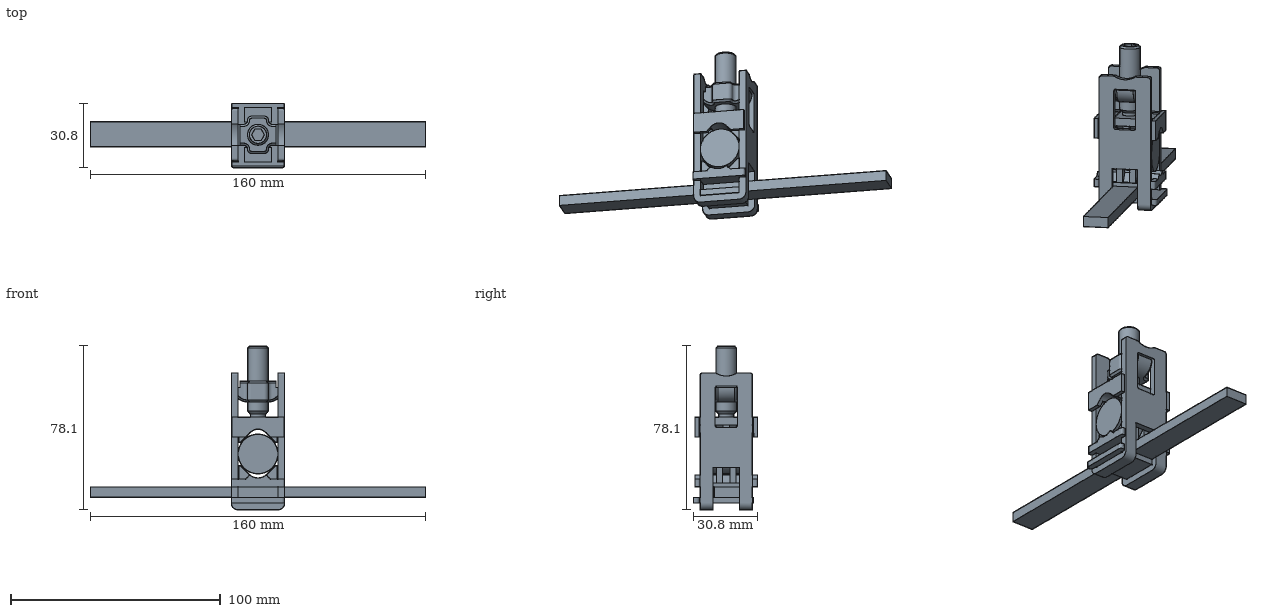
import cadquery as cq
import math


frame_width = 25.5
frame_depth = 25.0
frame_height = 65.4
wall = 3.25
frame_inner = frame_width - 2 * wall
top_corner_radius = 1.2
notch_width = 10.2
notch_depth = 1.5
window_width = 10.6
window_bottom = 39.4
window_top = 59.1
window_radius = 1.0
opening_width = 12.5
opening_top = 20.25

base_plate_thickness = 2.8
base_plate_back = 13.1
head_front = 15.75
head_thickness = 3.0
head_corner_radius = 1.3

bar_length = 160.0
bar_width = 12.0
bar_thickness = 5.0
bar_y = (opening_width - bar_width) / 2

base_plate_bottom = wall
bar_bottom = base_plate_bottom + base_plate_thickness
jaw_bottom = bar_bottom + bar_thickness

conductor_diameter = frame_inner
conductor_length = frame_depth
conductor_z = 26.7

groove_clearance = 0.3
groove_apex = (conductor_diameter / 2 + groove_clearance) * math.sqrt(2)
ridge_apex = 6.1
rib_reach = 5.5
flange_depth = 30.0
rib_pitch = 6.4
rib_thickness = 3.0
rib_setback = 0.25

lower_web = 1.8
lower_flange_width = frame_width
lower_flange_thickness = (flange_depth - frame_depth) / 2
lower_flange_top = 14.75
lower_flange_radius = 0.9
lower_root_radius = 6.0

saddle_top = 44.3
saddle_web = 3.8
saddle_flange_width = 24.6
saddle_flange_thickness = 2.0
saddle_flange_bottom = 34.7
saddle_root_radius = 5.0
recess_width = 13.0
recess_start = 6.0
recess_depth = 0.6

nut_bottom = 51.5
nut_height = 10.0
nut_arm_width = 10.0
nut_depth = 17.8
nut_corner_radius = 1.9
nut_chamfer = 1.0
nut_shoulder_width = 17.4
nut_lug_width = 24.0
nut_lug_radius = 7.0
nut_lug_top = nut_bottom + nut_lug_radius

screw_diameter = 10.0
screw_top = 78.12
screw_chamfer = 0.9
screw_taper_top = 47.1
screw_taper_bottom = 45.7
screw_tip_diameter = 7.2
socket_across_flats = 5.3
socket_depth = 6.0


def block(size_x, y_min, y_max, z_min, z_max):
    """Box centred on X = 0 between the given Y and Z limits."""
    box = cq.Workplane("XY").box(size_x, y_max - y_min, z_max - z_min)
    return box.translate((0, (y_min + y_max) / 2, (z_min + z_max) / 2))


def prism_along_y(profile, length):
    """Extrude an XZ profile by the length, centred on Y = 0."""
    return profile.extrude(length / 2, both=True)


def make_frame():
    frame = block(frame_width, -frame_depth / 2, frame_depth / 2, 0, frame_height)
    frame = frame.edges("|Y and <Z").fillet(wall)
    frame = frame.edges("|X and >Z").fillet(top_corner_radius)
    frame = frame.cut(block(frame_inner, -frame_depth, frame_depth, wall, 2 * frame_height))
    opening_half = opening_width / 2
    frame = frame.cut(block(2 * frame_width, -opening_half, opening_half, -wall, opening_top))
    window = block(2 * frame_width, -window_width / 2, window_width / 2, window_bottom, window_top)
    frame = frame.cut(window.edges("|X").fillet(window_radius))
    notch_radius = ((notch_width / 2) ** 2 + notch_depth ** 2) / (2 * notch_depth)
    notch_centre = frame_height - notch_depth + notch_radius
    notch = cq.Workplane("YZ").center(0, notch_centre).circle(notch_radius).extrude(frame_width, both=True)
    return frame.cut(notch)


def make_base_plate():
    """Sliding T-shaped plate whose wide head stops against the front of the frame."""
    top = base_plate_bottom + base_plate_thickness
    head_back = head_thickness - head_front
    head = block(frame_width, -head_front, head_back, base_plate_bottom, top)
    head = head.edges("|Z").fillet(head_corner_radius)
    shank = block(frame_inner, head_back - head_corner_radius, base_plate_back, base_plate_bottom, top)
    return head.union(shank)


def make_flat_bar():
    bar = block(bar_length, -bar_width / 2, bar_width / 2, bar_bottom, bar_bottom + bar_thickness)
    return bar.translate((0, bar_y, 0))


def make_conductor():
    circle = cq.Workplane("XZ").center(0, conductor_z).circle(conductor_diameter / 2)
    return prism_along_y(circle, conductor_length)


def make_groove(side, root_radius):
    """V groove cutter with a rounded root; side is -1 below the conductor, +1 above."""
    root_half = root_radius / math.sqrt(2)
    root_start = conductor_z + side * (groove_apex - root_half)
    root_tip = conductor_z + side * (groove_apex - root_radius * (math.sqrt(2) - 1))
    profile = (
        cq.Workplane("XZ")
        .moveTo(-groove_apex, conductor_z)
        .lineTo(-root_half, root_start)
        .threePointArc((0, root_tip), (root_half, root_start))
        .lineTo(groove_apex, conductor_z)
        .close()
    )
    return prism_along_y(profile, 2 * flange_depth)


def make_ridge(side, web_face):
    """Ridge with 45 degree outer flanks, standing on the jaw's web along its full depth."""
    base_half = abs(web_face - conductor_z) - ridge_apex
    tip_half = (groove_apex - ridge_apex) / 2
    tip = conductor_z + side * (groove_apex + ridge_apex) / 2
    points = [(-base_half, web_face), (-tip_half, tip), (tip_half, tip), (base_half, web_face)]
    return prism_along_y(cq.Workplane("XZ").polyline(points).close(), flange_depth)


def make_ribs(centres, side, web_face):
    rib_end = conductor_z + side * rib_reach
    low, high = sorted((rib_end, web_face))
    rib_width = frame_inner - 2 * rib_setback
    ribs = cq.Workplane("XY")
    for y in centres:
        ribs = ribs.add(block(rib_width, y - rib_thickness / 2, y + rib_thickness / 2, low, high))
    return ribs.combine()


def make_lower_jaw():
    web_top = jaw_bottom + lower_web
    jaw = block(frame_inner, -flange_depth / 2, flange_depth / 2, jaw_bottom, web_top)
    for side in (-1, 1):
        y_min, y_max = sorted((side * flange_depth / 2, side * (flange_depth / 2 - lower_flange_thickness)))
        flange = block(lower_flange_width, y_min, y_max, jaw_bottom, lower_flange_top)
        jaw = jaw.union(flange.edges("|Z").fillet(lower_flange_radius))
    jaw = jaw.union(make_ridge(-1, web_top))
    centres = [rib_pitch * step for step in (-1.5, -0.5, 0.5, 1.5)]
    jaw = jaw.union(make_ribs(centres, -1, web_top))
    return jaw.cut(make_groove(-1, lower_root_radius))


def make_saddle():
    web_bottom = saddle_top - saddle_web
    saddle = block(frame_inner, -flange_depth / 2, flange_depth / 2, web_bottom, saddle_top)
    flange_inner = flange_depth / 2 - saddle_flange_thickness
    for side in (-1, 1):
        y_min, y_max = sorted((side * flange_depth / 2, side * flange_inner))
        saddle = saddle.union(block(saddle_flange_width, y_min, y_max, saddle_flange_bottom, saddle_top))
        y_min, y_max = sorted((side * recess_start, side * flange_inner))
        saddle = saddle.cut(block(recess_width, y_min, y_max, saddle_top - recess_depth, saddle_top))
    saddle = saddle.union(make_ridge(1, web_bottom))
    centres = [rib_pitch * step for step in (-1, 0, 1)]
    saddle = saddle.union(make_ribs(centres, 1, web_bottom))
    return saddle.cut(make_groove(1, saddle_root_radius))


def make_nut():
    """Cross-shaped nut; its two round-bottomed lugs reach into the frame windows."""
    nut_top = nut_bottom + nut_height
    lug_half = nut_lug_width / 2
    shoulder_half = nut_shoulder_width / 2
    arm_half = nut_arm_width / 2
    arm = block(nut_lug_width, -arm_half, arm_half, nut_bottom, nut_top)
    cross = arm.union(block(nut_arm_width, -nut_depth / 2, nut_depth / 2, nut_bottom, nut_top))
    corner_box = cq.selectors.BoxSelector(
        (-nut_arm_width, -nut_depth, nut_bottom), (nut_arm_width, nut_depth, nut_top)
    )
    cross = cross.edges("|Z").edges(corner_box).fillet(nut_corner_radius)
    lug_arc = nut_lug_radius * (1 - math.sqrt(0.5))
    profile = (
        cq.Workplane("XZ")
        .moveTo(-shoulder_half, nut_top)
        .lineTo(-shoulder_half, nut_lug_top)
        .lineTo(-lug_half, nut_lug_top)
        .threePointArc((-lug_half + lug_arc, nut_bottom + lug_arc), (-lug_half + nut_lug_radius, nut_bottom))
        .lineTo(lug_half - nut_lug_radius, nut_bottom)
        .threePointArc((lug_half - lug_arc, nut_bottom + lug_arc), (lug_half, nut_lug_top))
        .lineTo(shoulder_half, nut_lug_top)
        .lineTo(shoulder_half, nut_top)
        .close()
    )
    nut = cross.intersect(prism_along_y(profile, 2 * nut_depth))
    nut = nut.faces(">Z").edges("not |Y").chamfer(nut_chamfer)
    nut = nut.faces("<Z").edges("not #X").chamfer(nut_chamfer)
    bore = cq.Workplane("XY").workplane(offset=nut_bottom).circle(screw_diameter / 2).extrude(nut_height)
    return nut.cut(bore)


def make_screw():
    radius = screw_diameter / 2
    tip_radius = screw_tip_diameter / 2
    half_section = [
        (0, saddle_top),
        (tip_radius, saddle_top),
        (tip_radius, screw_taper_bottom),
        (radius, screw_taper_top),
        (radius, screw_top - screw_chamfer),
        (radius - screw_chamfer, screw_top),
        (0, screw_top),
    ]
    screw = cq.Workplane("XZ").polyline(half_section).close().revolve(360, (0, 0, 0), (0, 1, 0))
    across_corners = socket_across_flats / math.cos(math.pi / 6)
    socket = cq.Workplane("XY").workplane(offset=screw_top).polygon(6, across_corners).extrude(-socket_depth)
    return screw.cut(socket)


frame = make_frame()
base_plate = make_base_plate()
flat_bar = make_flat_bar()
conductor = make_conductor()
lower_jaw = make_lower_jaw()
saddle = make_saddle()
nut = make_nut()
screw = make_screw()

bodies = [frame, base_plate, flat_bar, conductor, lower_jaw, saddle, nut, screw]
result = cq.Compound.makeCompound([body.solids().val() for body in bodies])